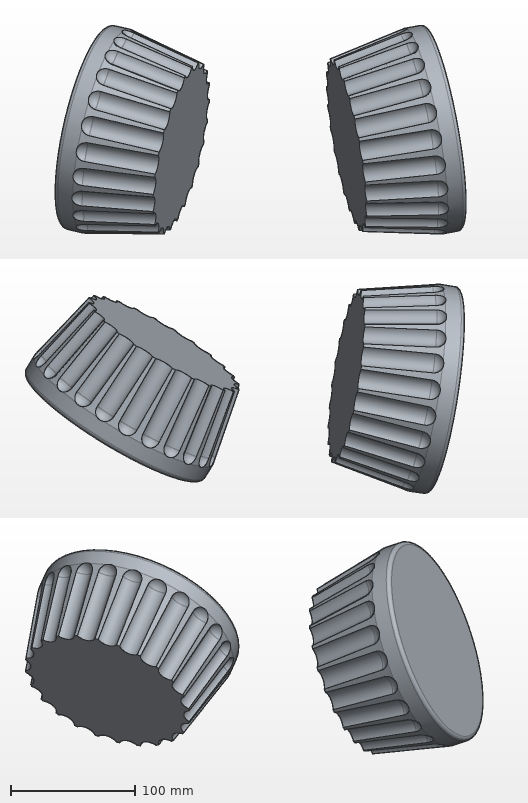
import cadquery as cq
import math

length = 79.5
rim_radius = 84.1
rim_length = 16.0
rim_fillet = 3.2
end_radius = 70.7

flute_count = 24
flute_width = 16.2
flute_depth = 4.9
flute_start = 23.0
flute_overrun = 16.8

taper_angle = math.atan2(rim_radius - end_radius, length - rim_length)
half_width = flute_width / 2
cutter_radius = (half_width**2 + flute_depth**2) / (2 * flute_depth)


def make_body():
    """Revolve the rim and taper about X, then round the front edge."""
    profile = (
        cq.Workplane("XY")
        .moveTo(0, 0)
        .lineTo(0, rim_radius)
        .lineTo(rim_length, rim_radius)
        .lineTo(length, end_radius)
        .lineTo(length, 0)
        .close()
    )
    body = profile.revolve(360, (0, 0, 0), (1, 0, 0))
    return body.faces("<X").edges().fillet(rim_fillet)


def make_flute_cutter():
    """Round bar with a ball end, lying along the taper on the +Z side."""
    surface_radius = rim_radius - (flute_start - rim_length) * math.tan(taper_angle)
    lift = cutter_radius - flute_depth
    center = cq.Vector(
        flute_start + lift * math.sin(taper_angle),
        0,
        surface_radius + lift * math.cos(taper_angle),
    )
    direction = cq.Vector(math.cos(taper_angle), 0, -math.sin(taper_angle))
    bar_length = length - flute_start + flute_overrun
    bar = cq.Solid.makeCylinder(cutter_radius, bar_length, center, direction)
    ball = cq.Solid.makeSphere(cutter_radius, center, direction, -90, 90, 360)
    return bar.fuse(ball)


result = make_body()
cutter = make_flute_cutter()
for index in range(flute_count):
    angle = index * 360 / flute_count
    turned_cutter = cutter.rotate(cq.Vector(0, 0, 0), cq.Vector(1, 0, 0), angle)
    result = result.cut(cq.Workplane(turned_cutter))